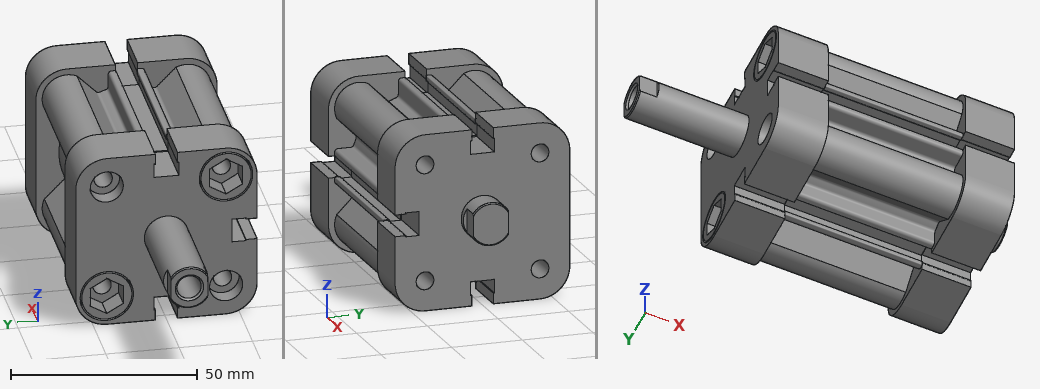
import cadquery as cq
import math


ROD_LENGTH = 108.5
FRONT_CAP_START = 31.8
FRONT_CAP_LENGTH = 14.8
BARREL_LENGTH = 40.5
REAR_CAP_LENGTH = 14.4
BARREL_START = FRONT_CAP_START + FRONT_CAP_LENGTH
REAR_CAP_START = BARREL_START + BARREL_LENGTH

CAP_SIZE = 49.5
CAP_HALF = CAP_SIZE / 2
CAP_CORNER_RADIUS = 8.6

BOLT_OFFSET = 16.3
BOLT_HOLE_DIAMETER = 5.0
COUNTERBORE_DIAMETER = 9.0
COUNTERBORE_DEPTH = 5.0
HEX_ACROSS_FLATS = 9.0
HEX_DEPTH = 6.5
RING_OUTER_DIAMETER = 14.5
RING_WIDTH = 0.4
RING_DEPTH = COUNTERBORE_DEPTH
COUNTERBORE_CORNERS = [(BOLT_OFFSET, BOLT_OFFSET), (-BOLT_OFFSET, -BOLT_OFFSET)]
SOCKET_CORNERS = [(-BOLT_OFFSET, BOLT_OFFSET), (BOLT_OFFSET, -BOLT_OFFSET)]
BOLT_CORNERS = COUNTERBORE_CORNERS + SOCKET_CORNERS

SLOT_ANGLES = [0, 90, 180]
SLOT_INNER_HALF_WIDTH = 3.4
CAP_NECK_HALF_WIDTH = 3.0
CAP_NECK_BOTTOM = CAP_HALF - 3.0
CAP_SLOT_FLOOR = CAP_HALF - 6.8
BARREL_NECK_HALF_WIDTH = 2.8
BARREL_NECK_BOTTOM = 21.4
BARREL_SLOT_FLOOR = 18.2
LIP_ROUND = 0.3

TUBE_RADIUS = 18.4
LOBE_RADIUS = 6.7
WEB_HALF_WIDTH = 6.3
BARREL_HALF = BOLT_OFFSET + LOBE_RADIUS
JAW_HALF_WIDTH = 5.0
PROFILE_ROUND = 1.0

ROD_DIAMETER = 12.0
ROD_CHAMFER = 0.3
FLATS_WIDTH = 10.0
FLATS_LENGTH = 5.1
FLATS_RUNOUT = 0.2
ROD_HOLE_DIAMETER = 6.6
ROD_HOLE_CHAMFER = 0.5
ROD_HOLE_DEPTH = 15.2
DRILL_TIP_HALF_ANGLE = 59


def section_at(x):
    """Workplane across the axis, with local axes Y and Z and its normal along +X."""
    return cq.Workplane("YZ", origin=(x, 0, 0))


def turned(shape, angle):
    return shape.rotate((0, 0, 0), (1, 0, 0), angle)


def slot_cutter(x, length, neck_half_width, neck_bottom, floor):
    """T-slot opening through the +Z side."""
    neck_height = CAP_HALF - floor
    neck = section_at(x).center(0, floor + neck_height / 2).rect(2 * neck_half_width, neck_height)
    groove_height = neck_bottom - floor
    groove = section_at(x).center(0, floor + groove_height / 2).rect(2 * SLOT_INNER_HALF_WIDTH, groove_height)
    return neck.extrude(length).union(groove.extrude(length))


def axial_holes(x, length):
    """Cutter for the four bolt holes and the rod bore."""
    bolts = section_at(x).pushPoints(BOLT_CORNERS).circle(BOLT_HOLE_DIAMETER / 2).extrude(length)
    return bolts.union(section_at(x).circle(ROD_DIAMETER / 2).extrude(length))


def make_cap(x, length):
    cap = section_at(x).rect(CAP_SIZE, CAP_SIZE).extrude(length)
    cap = cap.edges("|X").fillet(CAP_CORNER_RADIUS)
    slot = slot_cutter(x, length, CAP_NECK_HALF_WIDTH, CAP_NECK_BOTTOM, CAP_SLOT_FLOOR)
    for angle in SLOT_ANGLES:
        cap = cap.cut(turned(slot, angle))
    return cap.cut(axial_holes(x, length))


def make_front_cap():
    cap = make_cap(FRONT_CAP_START, FRONT_CAP_LENGTH)
    face = section_at(FRONT_CAP_START)
    counterbores = face.pushPoints(COUNTERBORE_CORNERS).circle(COUNTERBORE_DIAMETER / 2)
    cap = cap.cut(counterbores.extrude(COUNTERBORE_DEPTH))
    ring_outer_radius = RING_OUTER_DIAMETER / 2
    hex_circumradius = HEX_ACROSS_FLATS / math.sqrt(3)
    for y, z in SOCKET_CORNERS:
        centre = face.center(y, z)
        ring = centre.circle(ring_outer_radius).circle(ring_outer_radius - RING_WIDTH).extrude(RING_DEPTH)
        socket = centre.transformed(rotate=(0, 0, 90)).polygon(6, 2 * hex_circumradius).extrude(HEX_DEPTH)
        cap = cap.cut(ring).cut(socket)
    return cap


def make_lobe():
    """Web running out along +Z to a rounded end around a bolt hole, turned to a corner later."""
    centre = BOLT_OFFSET * math.sqrt(2)
    shoulder = centre + math.sqrt(LOBE_RADIUS**2 - WEB_HALF_WIDTH**2)
    return (
        section_at(BARREL_START)
        .moveTo(-WEB_HALF_WIDTH, 0)
        .lineTo(-WEB_HALF_WIDTH, shoulder)
        .threePointArc((0, centre + LOBE_RADIUS), (WEB_HALF_WIDTH, shoulder))
        .lineTo(WEB_HALF_WIDTH, 0)
        .close()
        .extrude(BARREL_LENGTH)
    )


def round_axial_edges(body, half_width, height, angles, radius):
    """Round the edges along X at (+-half_width, height), repeated at each angle about X."""
    spots = []
    for angle in angles:
        turn = math.radians(angle)
        for y in (-half_width, half_width):
            spot_y = y * math.cos(turn) - height * math.sin(turn)
            spot_z = y * math.sin(turn) + height * math.cos(turn)
            spots.append(cq.Vector(BARREL_START + BARREL_LENGTH / 2, spot_y, spot_z))
    tolerance = 0.001
    edges = body.edges("|X").filter(lambda e: any((e.Center() - spot).Length < tolerance for spot in spots))
    return edges.fillet(radius)


def make_barrel():
    barrel = section_at(BARREL_START).circle(TUBE_RADIUS).extrude(BARREL_LENGTH)
    lobe_angles = [45, 135, 225, 315]
    for angle in lobe_angles:
        barrel = barrel.union(turned(make_lobe(), angle))
    jaws = section_at(BARREL_START).center(0, BARREL_HALF / 2).rect(2 * JAW_HALF_WIDTH, BARREL_HALF)
    jaws = jaws.extrude(BARREL_LENGTH)
    for angle in SLOT_ANGLES:
        barrel = barrel.union(turned(jaws, angle))

    web_root = math.sqrt(TUBE_RADIUS**2 - WEB_HALF_WIDTH**2)
    jaw_root = math.sqrt(TUBE_RADIUS**2 - JAW_HALF_WIDTH**2)
    barrel = round_axial_edges(barrel, WEB_HALF_WIDTH, web_root, lobe_angles, PROFILE_ROUND)
    barrel = round_axial_edges(barrel, JAW_HALF_WIDTH, jaw_root, SLOT_ANGLES, PROFILE_ROUND)
    barrel = round_axial_edges(barrel, JAW_HALF_WIDTH, BARREL_HALF, SLOT_ANGLES, PROFILE_ROUND)

    slot = slot_cutter(
        BARREL_START, BARREL_LENGTH, BARREL_NECK_HALF_WIDTH, BARREL_NECK_BOTTOM, BARREL_SLOT_FLOOR
    )
    for angle in SLOT_ANGLES:
        barrel = barrel.cut(turned(slot, angle))
    for lip_height in (BARREL_HALF, BARREL_NECK_BOTTOM):
        barrel = round_axial_edges(barrel, BARREL_NECK_HALF_WIDTH, lip_height, SLOT_ANGLES, LIP_ROUND)
    return barrel.cut(axial_holes(BARREL_START, BARREL_LENGTH))


def flats_cutter(side):
    """Cutter for one wrench flat at the front rod end; side is +1 or -1 along Y."""
    flat = side * FLATS_WIDTH / 2
    outside = side * ROD_DIAMETER / 2
    return (
        cq.Workplane("XY", origin=(0, 0, -ROD_DIAMETER / 2))
        .polyline([(0, flat), (FLATS_LENGTH, flat), (FLATS_LENGTH + FLATS_RUNOUT, outside), (0, outside)])
        .close()
        .extrude(ROD_DIAMETER)
    )


def rod_hole_cutter():
    """Drilled hole with a mouth chamfer and a conical bottom at the front rod end."""
    radius = ROD_HOLE_DIAMETER / 2
    tip_length = radius / math.tan(math.radians(DRILL_TIP_HALF_ANGLE))
    return (
        cq.Workplane("XY")
        .polyline([
            (0, 0),
            (0, radius + ROD_HOLE_CHAMFER),
            (ROD_HOLE_CHAMFER, radius),
            (ROD_HOLE_DEPTH, radius),
            (ROD_HOLE_DEPTH + tip_length, 0),
        ])
        .close()
        .revolve(360, (0, 0, 0), (1, 0, 0))
    )


def make_rod():
    rod = section_at(0).circle(ROD_DIAMETER / 2).extrude(ROD_LENGTH)
    rod = rod.faces("<X or >X").chamfer(ROD_CHAMFER)
    for side in (-1, 1):
        flat = flats_cutter(side)
        rod = rod.cut(flat)
        rod = rod.cut(flat.mirror("YZ", (ROD_LENGTH / 2, 0, 0)))
    return rod.cut(rod_hole_cutter())


front_cap = make_front_cap()
barrel = make_barrel()
rear_cap = make_cap(REAR_CAP_START, REAR_CAP_LENGTH)
rod = make_rod()

result = cq.Compound.makeCompound([
    front_cap.solids().val(),
    barrel.solids().val(),
    rear_cap.solids().val(),
    rod.solids().val(),
])